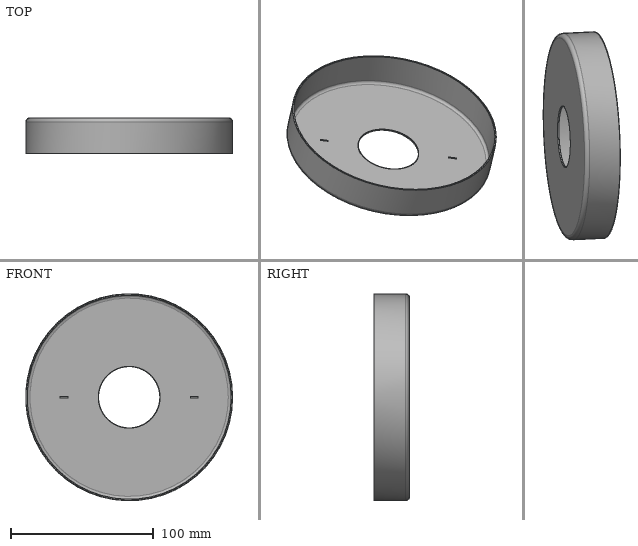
import cadquery as cq

outer_diameter = 145.0
depth = 25.0
thickness = 1.0
outer_corner_radius = 3.0
bore_diameter = 43.0

mark_length = 5.5
mark_width = 0.8
mark_depth = 0.2
mark_offset = 45.6

outer_radius = outer_diameter / 2
inner_radius = outer_radius - thickness
inner_corner_radius = outer_corner_radius - thickness
back_y = depth / 2
front_y = -depth / 2
plate_inner_y = back_y - thickness


def disc(radius, start_y, end_y):
    """Solid cylinder on the Y axis between two Y positions."""
    return (
        cq.Workplane("XZ", origin=(0, start_y, 0))
        .circle(radius)
        .extrude(start_y - end_y)
    )


def make_shell():
    """Thin-walled cup with concentric inner and outer corner rounds."""
    body = disc(outer_radius, front_y, back_y).faces(">Y").edges().fillet(outer_corner_radius)
    cavity = disc(inner_radius, front_y, plate_inner_y).faces(">Y").edges().fillet(inner_corner_radius)
    return body.cut(cavity)


def cut_bore(part):
    """Central through hole in the plate."""
    return part.cut(disc(bore_diameter / 2, front_y, back_y))


def cut_marks(part):
    """Shallow straight grooves on either side of the bore."""
    for side in (-1, 1):
        mark = cq.Workplane("XY").box(mark_length, mark_depth, mark_width)
        center_y = plate_inner_y + mark_depth / 2
        part = part.cut(mark.translate((side * mark_offset, center_y, 0)))
    return part


result = cut_marks(cut_bore(make_shell()))